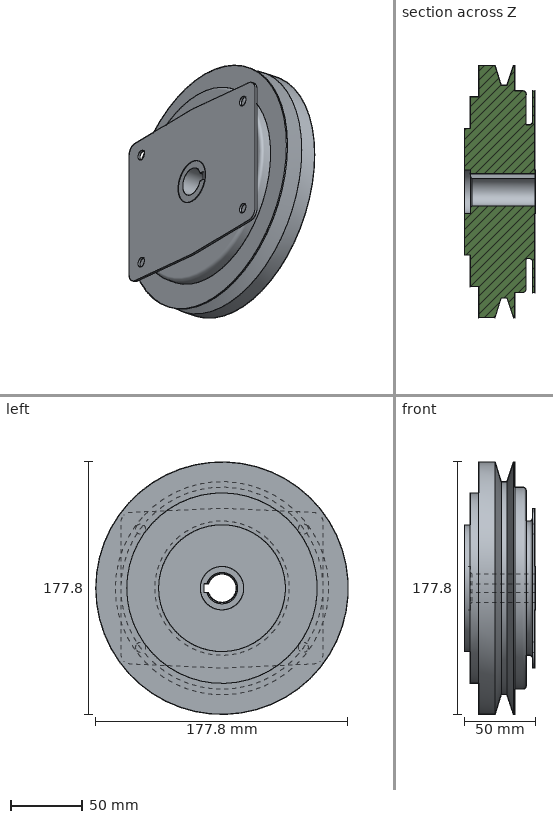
import cadquery as cq
import math

hub_end = 4.1
shoulder_end = 10.0
groove_start = 21.7
root_start = 26.0
root_end = 29.9
flange_start = 34.5
flange_end = 35.5
drum_end = 43.5
plate_start = 47.8
plate_end = 49.6
overall_length = 50.0

hub_radius = 44.6
shoulder_radius = 67.0
rim_radius = 88.9
root_radius = 75.0
drum_radius = 71.1
drum_fillet = 2.5
neck_radius = 47.3
neck_fillet = 2.0
sleeve_radius = 15.3

lug_radius = 7.1
plate_half_width = 71.1
plate_centre_radius = 56.2
lug_y = plate_half_width - lug_radius
lug_z = 46.2
plate_hole_y = 57.3
plate_hole_z = 41.6
plate_hole_diameter = 7.1

bore_radius = 10.0
bore_chamfer = 1.0
recess_depth = 4.3
keyway_width = 6.0
keyway_reach = 12.6


def disc(radius, start, end):
    """Cylinder about the X axis between two axial positions."""
    return cq.Workplane("YZ", origin=(start, 0, 0)).circle(radius).extrude(end - start)


def turned_body():
    """Stepped pulley with its V groove, drum and neck."""
    profile = [
        (0, 0),
        (0, hub_radius),
        (hub_end, hub_radius),
        (hub_end, shoulder_radius),
        (shoulder_end, shoulder_radius),
        (shoulder_end, rim_radius),
        (groove_start, rim_radius),
        (root_start, root_radius),
        (root_end, root_radius),
        (flange_start, rim_radius),
        (flange_end, rim_radius),
        (flange_end, 0),
    ]
    pulley = cq.Workplane("XY").polyline(profile).close().revolve(360, (0, 0, 0), (1, 0, 0))
    drum = disc(drum_radius, flange_end, drum_end).faces(">X").edges().fillet(drum_fillet)
    neck = disc(neck_radius, drum_end, plate_start)
    fillet_start = plate_start - neck_fillet
    flare_radius = neck_radius + neck_fillet
    arc_offset = neck_fillet * math.sqrt(0.5)
    flare = (
        cq.Workplane("XY")
        .moveTo(fillet_start, 0)
        .lineTo(fillet_start, neck_radius)
        .threePointArc((fillet_start + arc_offset, flare_radius - arc_offset), (plate_start, flare_radius))
        .lineTo(plate_start, 0)
        .close()
        .revolve(360, (0, 0, 0), (1, 0, 0))
    )
    sleeve = disc(sleeve_radius, plate_start, overall_length)
    return pulley.union(drum).union(neck).union(flare).union(sleeve)


def mounting_plate():
    """Plate whose long edges run tangent from a central circle to four round corners."""
    lug_distance = math.hypot(lug_y, lug_z)
    lug_angle = math.atan2(lug_y, lug_z)
    tilt = lug_angle - math.acos((plate_centre_radius - lug_radius) / lug_distance)

    def tangent_point(centre_y, centre_z, radius):
        return (centre_y + radius * math.sin(tilt), centre_z + radius * math.cos(tilt))

    centre_y, centre_z = tangent_point(0, 0, plate_centre_radius)
    corner_y, corner_z = tangent_point(lug_y, lug_z, lug_radius)
    middle_angle = (tilt + math.pi / 2) / 2
    middle_y = lug_y + lug_radius * math.sin(middle_angle)
    middle_z = lug_z + lug_radius * math.cos(middle_angle)

    plate = (
        cq.Workplane("YZ", origin=(plate_start, 0, 0))
        .moveTo(-centre_y, centre_z)
        .threePointArc((0, plate_centre_radius), (centre_y, centre_z))
        .lineTo(corner_y, corner_z)
        .threePointArc((middle_y, middle_z), (plate_half_width, lug_z))
        .lineTo(plate_half_width, -lug_z)
        .threePointArc((middle_y, -middle_z), (corner_y, -corner_z))
        .lineTo(centre_y, -centre_z)
        .threePointArc((0, -plate_centre_radius), (-centre_y, -centre_z))
        .lineTo(-corner_y, -corner_z)
        .threePointArc((-middle_y, -middle_z), (-plate_half_width, -lug_z))
        .lineTo(-plate_half_width, lug_z)
        .threePointArc((-middle_y, middle_z), (-corner_y, corner_z))
        .close()
        .extrude(plate_end - plate_start)
    )
    holes = (
        cq.Workplane("YZ", origin=(plate_start, 0, 0))
        .rect(2 * plate_hole_y, 2 * plate_hole_z, forConstruction=True)
        .vertices()
        .circle(plate_hole_diameter / 2)
        .extrude(plate_end - plate_start)
    )
    return plate.cut(holes)


def bore_cutter():
    """Recessed, chamfered through bore with a keyway on the +Y side."""
    recess = disc(sleeve_radius, 0, recess_depth)
    bore = disc(bore_radius, 0, overall_length)
    chamfer = cq.Workplane("XY").add(
        cq.Solid.makeCone(
            bore_radius + bore_chamfer,
            bore_radius,
            bore_chamfer,
            pnt=cq.Vector(recess_depth, 0, 0),
            dir=cq.Vector(1, 0, 0),
        )
    )
    keyway = cq.Workplane("XY").box(
        overall_length, keyway_reach, keyway_width, centered=(False, False, True)
    )
    return recess.union(bore).union(chamfer).union(keyway)


result = turned_body().union(mounting_plate()).cut(bore_cutter())